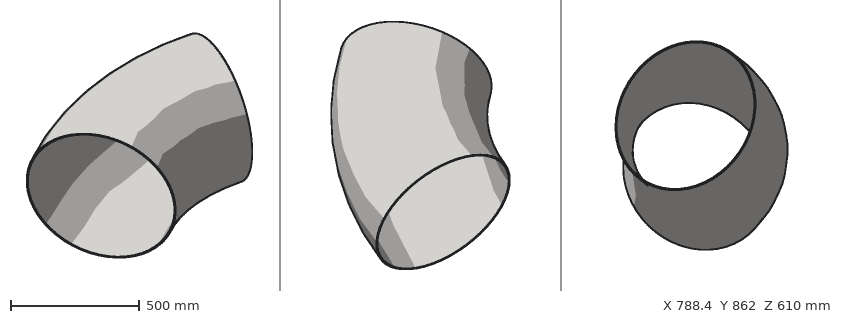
import cadquery as cq
import math

length_y = 862.0
outer_diameter = 610.0
wall = 6.0
bend_angle = 45.0

outer_radius = outer_diameter / 2
inner_radius = outer_radius - wall
bend_radius = length_y / math.sin(math.radians(bend_angle)) - outer_radius

section = cq.Workplane("XZ").circle(outer_radius).circle(inner_radius)
result = section.revolve(bend_angle, (bend_radius, 0, 0), (bend_radius, -1, 0))